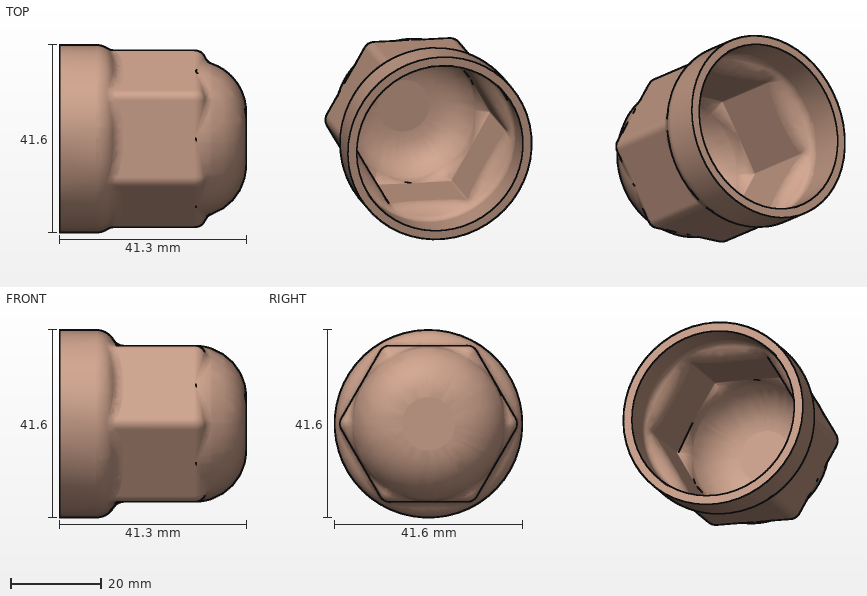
import cadquery as cq
import math

rim_radius = 20.8
wall = 2.0
total_length = 41.3
rim_length = 8.03
shoulder_round = 4.5
hex_sides = 6
hex_apothem = 17.3
dome_round = 11.45
edge_round = 2.5
dome_clearance = 0.01
seam_angle = 15.0

dome_start = total_length - dome_round


def rim_solid(inset):
    """Round rim ending in a half-round shoulder that curves back in under the hexagon."""
    radius = rim_radius - inset
    convex = shoulder_round - inset
    profile = (
        cq.Workplane("XZ")
        .lineTo(0, radius)
        .lineTo(rim_length, radius)
        .threePointArc((rim_length + convex, radius - convex), (rim_length, radius - 2 * convex))
        .lineTo(rim_length, 0)
        .close()
    )
    rim = profile.revolve(axisStart=(0, 0, 0), axisEnd=(1, 0, 0))
    return rim.rotate((0, 0, 0), (1, 0, 0), seam_angle)


def hexagon_solid(inset):
    """Hexagonal bar with two corners on the Y axis, rounded along its length and around its closed end."""
    across_corners = 2 * (hex_apothem - inset) / math.cos(math.pi / hex_sides)
    convex = edge_round - inset
    bar = cq.Workplane("YZ").polygon(hex_sides, across_corners).extrude(dome_start + convex)
    return bar.edges("|X").fillet(convex).faces(">X").edges().fillet(convex)


def dome_solid(inset):
    """Round bar inside the hexagon flats, with a large edge radius at its closed end."""
    radius = hex_apothem - dome_clearance - inset
    bar = cq.Workplane("YZ").circle(radius).extrude(total_length - inset)
    return bar.faces(">X").edges().fillet(dome_round - inset)


def blend_root(body, start, end, radius):
    """Fillet the wavy edge, between two X positions, where a round form meets the hexagon."""
    zone = cq.selectors.BoxSelector((start, -rim_radius, -rim_radius), (end, rim_radius, rim_radius))
    root_edges = [edge for edge in body.edges(zone).vals() if edge.geomType() != "CIRCLE"]
    return body.newObject(root_edges).fillet(radius)


def cap_solid(inset):
    """Solid cap whose whole surface lies the given distance inside the outer skin."""
    concave = edge_round + inset
    body = hexagon_solid(inset).union(dome_solid(inset))
    body = blend_root(body, dome_start, total_length, concave)
    body = body.union(rim_solid(inset))
    return blend_root(body, rim_length, rim_length + shoulder_round, concave)


result = cap_solid(0).cut(cap_solid(wall))